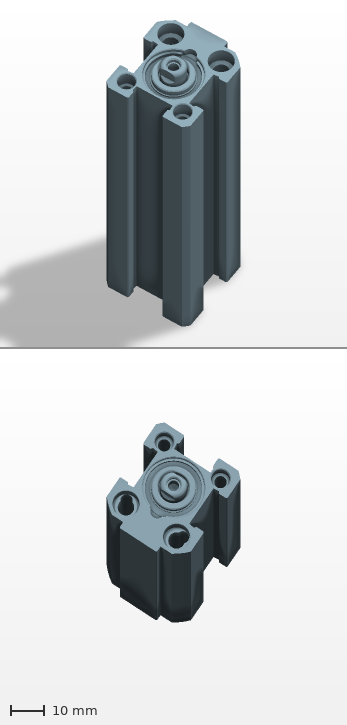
import cadquery as cq
import math


HEIGHT = 97.9
WIDTH = 30.0
HALF_WIDTH = WIDTH / 2
CORNER_RADIUS = 20.0
TAB_TOP = 19.0
TAB_HALF_WIDTH = 6.7
TAB_CHAMFER = 0.3
SHOULDER_Y = 16.9

SLOT_FLOOR = 9.9
SLOT_FLOOR_HALF_WIDTH = 6.5
SLOT_HALF_WIDTH = 6.7
LIP_HALF_WIDTH = 6.0
LIP_DEPTH = 2.8
LIP_SLOPE = 0.5
LIP_CHAMFER = 0.3

HOLE_PITCH = 10.0
MOUNT_DIAMETER = 3.7
MOUNT_COUNTERBORE = 5.6
MOUNT_CHAMFER = 0.3
OFFSET_HOLE_X = 9.0
OFFSET_HOLE_Y = 11.9
OFFSET_DIAMETER = 4.9
OFFSET_COUNTERBORE = 8.0
OFFSET_CHAMFER = 0.1
COUNTERBORE_DEPTH = 4.9

BORE_DIAMETER = 17.9
MOUTH_DIAMETER = 18.5
MOUTH_CHAMFER = 0.26
GROOVE_DIAMETER = 19.0
NOTCH_DIAMETER = 4.2
NOTCH_Y = 8.6
RING_INNER_DIAMETER = 17.0
RING_THICKNESS = 1.2
RING_DEPTH = 1.2
RING_GAP = 5.5

FLANGE_THICKNESS = 8.2
BOSS_DIAMETER = 13.2
BOSS_CHAMFER = 0.3
BOSS_BASE_DIAMETER = 14.0
BOSS_BASE_DEPTH = 1.9
COVER_HOLE_DIAMETER = 8.4
WIPER_DIAMETER = 9.2
WIPER_DEPTH = 2.0
WIPER_CHAMFER = 0.3

ROD_TOP = 102.5
ROD_DIAMETER = 8.0
ROD_EMBEDDED = 10.2
ROD_ROUND = 1.3
FLAT_HALF_WIDTH = 3.1
FLAT_LENGTH = 3.6
ROD_HOLE_DIAMETER = 3.3
ROD_HOLE_DEPTH = 6.2
ROD_MOUTH_DIAMETER = 4.1
ROD_MOUTH_DEPTH = 1.5
ROD_MOUTH_CHAMFER = 0.4
DRILL_HALF_ANGLE = 59.0

RING_TOP = HEIGHT - RING_DEPTH
FLANGE_TOP = RING_TOP - RING_THICKNESS
BORE_FLOOR = FLANGE_TOP - FLANGE_THICKNESS
ROD_BOTTOM = BORE_FLOOR - ROD_EMBEDDED


def cylinder(diameter, bottom, top, x=0, y=0):
    """Upright cylinder between two levels."""
    return cq.Workplane("XY", origin=(x, y, bottom)).circle(diameter / 2).extrude(top - bottom)


def cone(bottom_diameter, top_diameter, bottom, top, x=0, y=0):
    """Upright truncated cone between two levels."""
    solid = cq.Solid.makeCone(bottom_diameter / 2, top_diameter / 2, top - bottom, cq.Vector(x, y, bottom))
    return cq.Workplane(obj=solid)


def slot_cutter():
    """Undercut slot open to -Y, running the full height."""
    lip_y = -HALF_WIDTH + LIP_DEPTH
    half = [
        (LIP_HALF_WIDTH + LIP_CHAMFER, -HALF_WIDTH),
        (LIP_HALF_WIDTH, -HALF_WIDTH + LIP_CHAMFER),
        (LIP_HALF_WIDTH, lip_y),
        (SLOT_HALF_WIDTH, lip_y + LIP_SLOPE),
        (SLOT_FLOOR_HALF_WIDTH, -SLOT_FLOOR),
    ]
    mirrored = [(-x, y) for x, y in reversed(half)]
    return cq.Workplane("XY").polyline(half + mirrored).close().extrude(HEIGHT)


def counterbored_hole(x, y, diameter, counterbore, chamfer):
    """Cutter for a through hole with a chamfered counterbore in the top face."""
    floor = HEIGHT - COUNTERBORE_DEPTH
    return (
        cylinder(diameter, 0, HEIGHT, x, y)
        .union(cylinder(counterbore, floor, HEIGHT, x, y))
        .union(cone(counterbore, counterbore + 2 * chamfer, HEIGHT - chamfer, HEIGHT, x, y))
    )


def housing_profile():
    """Square extrusion with corners rounded about the bore axis, a tab on +Y and three slots."""
    body = cq.Workplane("XY", origin=(0, -HALF_WIDTH, 0)).box(
        WIDTH, SHOULDER_Y + HALF_WIDTH, HEIGHT, centered=(True, False, False))
    body = body.intersect(cylinder(2 * CORNER_RADIUS, 0, HEIGHT))
    tab = cq.Workplane("XY").box(2 * TAB_HALF_WIDTH, TAB_TOP, HEIGHT, centered=(True, False, False))
    body = body.union(tab.faces(">Y").edges("|Z").chamfer(TAB_CHAMFER))
    for angle in (-90, 0, 90):
        body = body.cut(slot_cutter().rotate((0, 0, 0), (0, 0, 1), angle))
    return body


def drill_corner_holes(body):
    """Mounting holes in all four corners, counterbored on -Y, and an offset hole in each +Y corner."""
    for side in (-1, 1):
        mount_x = side * HOLE_PITCH
        body = body.cut(counterbored_hole(
            mount_x, -HOLE_PITCH, MOUNT_DIAMETER, MOUNT_COUNTERBORE, MOUNT_CHAMFER))
        body = body.cut(cylinder(MOUNT_DIAMETER, 0, HEIGHT, mount_x, HOLE_PITCH))
        body = body.cut(counterbored_hole(
            side * OFFSET_HOLE_X, OFFSET_HOLE_Y,
            OFFSET_DIAMETER, OFFSET_COUNTERBORE, OFFSET_CHAMFER))
    return body


def bore_cutter():
    """Stepped bore for the rod, the rod cover and the retaining ring, with the ring removal notch."""
    rim_diameter = MOUTH_DIAMETER + 2 * MOUTH_CHAMFER
    lead_in = (GROOVE_DIAMETER - BORE_DIAMETER) / 2
    return (
        cylinder(ROD_DIAMETER, ROD_BOTTOM, HEIGHT)
        .union(cylinder(BORE_DIAMETER, BORE_FLOOR, HEIGHT))
        .union(cone(BORE_DIAMETER, GROOVE_DIAMETER, FLANGE_TOP - lead_in, FLANGE_TOP))
        .union(cylinder(GROOVE_DIAMETER, FLANGE_TOP, RING_TOP))
        .union(cylinder(MOUTH_DIAMETER, FLANGE_TOP, HEIGHT))
        .union(cone(MOUTH_DIAMETER, rim_diameter, HEIGHT - MOUTH_CHAMFER, HEIGHT))
        .union(cylinder(NOTCH_DIAMETER, FLANGE_TOP, HEIGHT, 0, NOTCH_Y))
    )


def make_housing():
    return drill_corner_holes(housing_profile()).cut(bore_cutter())


def make_retaining_ring():
    """Flat ring in the housing groove, open toward the notch on +Y."""
    ring = cylinder(GROOVE_DIAMETER, FLANGE_TOP, RING_TOP)
    ring = ring.cut(cylinder(RING_INNER_DIAMETER, FLANGE_TOP, RING_TOP))
    gap = cq.Workplane("XY", origin=(0, 0, FLANGE_TOP)).box(
        RING_GAP, GROOVE_DIAMETER, RING_THICKNESS, centered=(True, False, False))
    return ring.cut(gap)


def make_rod_cover():
    """Flange under the retaining ring with a stepped boss and a clearance hole for the rod."""
    wiper_rim = WIPER_DIAMETER + 2 * WIPER_CHAMFER
    boss = cylinder(BOSS_DIAMETER, FLANGE_TOP, HEIGHT).faces(">Z").chamfer(BOSS_CHAMFER)
    return (
        cylinder(BORE_DIAMETER, BORE_FLOOR, FLANGE_TOP)
        .union(cylinder(BOSS_BASE_DIAMETER, FLANGE_TOP, HEIGHT - BOSS_BASE_DEPTH))
        .union(boss)
        .cut(cylinder(COVER_HOLE_DIAMETER, BORE_FLOOR, HEIGHT))
        .cut(cylinder(WIPER_DIAMETER, HEIGHT - WIPER_DEPTH, HEIGHT))
        .cut(cone(WIPER_DIAMETER, wiper_rim, HEIGHT - WIPER_CHAMFER, HEIGHT))
    )


def wrench_flat_cutter():
    """Removes the +Y side of the rod end, running out at 45 degrees to the rod surface."""
    radius = ROD_DIAMETER / 2
    flat_bottom = ROD_TOP - FLAT_LENGTH
    runout = radius - FLAT_HALF_WIDTH
    profile = [
        (FLAT_HALF_WIDTH, ROD_TOP),
        (FLAT_HALF_WIDTH, flat_bottom),
        (radius, flat_bottom - runout),
        (radius, ROD_TOP),
    ]
    return cq.Workplane("YZ").polyline(profile).close().extrude(radius, both=True)


def rod_hole_cutter():
    """Drilled hole with a conical tip, a wider mouth and a chamfered rim."""
    hole_floor = ROD_TOP - ROD_HOLE_DEPTH
    tip_length = ROD_HOLE_DIAMETER / 2 / math.tan(math.radians(DRILL_HALF_ANGLE))
    rim_diameter = ROD_MOUTH_DIAMETER + 2 * ROD_MOUTH_CHAMFER
    return (
        cone(0, ROD_HOLE_DIAMETER, hole_floor - tip_length, hole_floor)
        .union(cylinder(ROD_HOLE_DIAMETER, hole_floor, ROD_TOP))
        .union(cylinder(ROD_MOUTH_DIAMETER, ROD_TOP - ROD_MOUTH_DEPTH, ROD_TOP))
        .union(cone(ROD_MOUTH_DIAMETER, rim_diameter, ROD_TOP - ROD_MOUTH_CHAMFER, ROD_TOP))
    )


def make_piston_rod():
    rod = cylinder(ROD_DIAMETER, ROD_BOTTOM, ROD_TOP).faces(">Z").edges().fillet(ROD_ROUND)
    flat = wrench_flat_cutter()
    return rod.cut(flat).cut(flat.mirror("XZ")).cut(rod_hole_cutter())


housing = make_housing()
retaining_ring = make_retaining_ring()
rod_cover = make_rod_cover()
piston_rod = make_piston_rod()
result = cq.Compound.makeCompound([housing.val(), retaining_ring.val(), rod_cover.val(), piston_rod.val()])